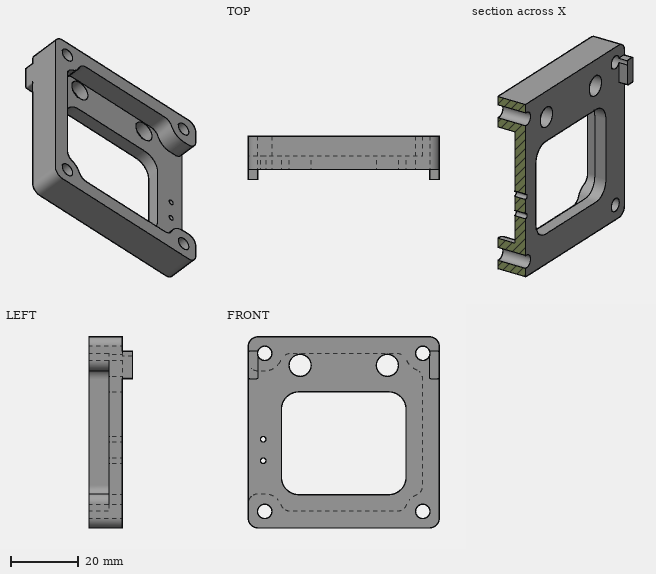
import cadquery as cq
import math

side = 57.0
half = side / 2
thickness = 10.0
web_thickness = 4.0
corner_radius = 3.0

rail_width = 5.0
post_radius = 5.25
post_fillet = 3.0

window_width = 37.05
window_height = 30.55
window_center_z = -3.25
window_radius = 5.15

mount_offset = 23.55
mount_diameter = 4.2
mount_points = [(x, z) for x in (-mount_offset, mount_offset) for z in (-mount_offset, mount_offset)]
large_hole_x = 13.0
large_hole_z = 19.95
large_hole_diameter = 6.5
pin_hole_x = -24.0
pin_hole_levels = (-2.05, -8.45)
pin_hole_diameter = 1.6

lug_width = 3.0
lug_height = 8.25
lug_length = 3.0
lug_top_gap = 4.3
lug_radius = 0.5


def block(width, height, y_start, y_end, x=0.0, z=0.0):
    """Box centered on (x, z), reaching from y_start to y_end."""
    depth = y_end - y_start
    return cq.Workplane("XY").box(width, depth, height).translate((x, (y_start + y_end) / 2, z))


def drill(body, points, diameter):
    """Cut round holes along Y through the whole body."""
    cutter = (
        cq.Workplane("XZ", origin=(0, thickness, 0))
        .pushPoints(points)
        .circle(diameter / 2)
        .extrude(thickness + lug_length)
    )
    return body.cut(cutter)


def round_corners(body, corners, radius):
    """Fillet the edges along Y that stand at the given (x, z) corners."""
    reach = 0.05
    for x, z in corners:
        near_corner = cq.selectors.BoxSelector(
            (x - reach, 0, z - reach),
            (x + reach, thickness, z + reach),
        )
        body = body.edges("|Y").edges(near_corner).fillet(radius)
    return body


def make_frame():
    """Rear walls: a C of three rails with four posts, blended where posts meet rails."""
    depth = thickness - web_thickness
    inner = half - rail_width
    frame = block(side, side, web_thickness, thickness)
    opening_width = side - rail_width
    opening = block(opening_width, 2 * inner, web_thickness, thickness, x=-rail_width / 2)
    frame = frame.cut(opening)

    posts = (
        cq.Workplane("XZ", origin=(0, thickness, 0))
        .pushPoints(mount_points)
        .circle(post_radius)
        .extrude(depth)
    )
    frame = frame.union(posts)

    tab_width = half - mount_offset
    tab_height = tab_width + post_radius
    tab_x = -(half - tab_width / 2)
    tab_z = half - tab_height / 2
    for z in (-tab_z, tab_z):
        frame = frame.union(block(tab_width, tab_height, web_thickness, thickness, tab_x, z))

    frame = frame.intersect(block(side, side, web_thickness, thickness))

    crossing = mount_offset - math.sqrt(post_radius**2 - (mount_offset - inner) ** 2)
    junctions = [(x, z) for x in (-crossing, crossing) for z in (-inner, inner)]
    junctions += [(inner, z) for z in (-crossing, crossing)]
    frame = round_corners(frame, junctions, post_fillet)

    tab_corners = [(-half, z) for z in (-half + tab_height, half - tab_height)]
    plate_corners = [(x, z) for x in (-half, half) for z in (-half, half)]
    return round_corners(frame, tab_corners + plate_corners, corner_radius)


web = block(side, side, 0, web_thickness).edges("|Y").fillet(corner_radius)
result = web.union(make_frame())

window = block(window_width, window_height, 0, web_thickness, z=window_center_z)
result = result.cut(window.edges("|Y").fillet(window_radius))

lug_x = half - lug_width / 2
lug_z = half - lug_top_gap - lug_height / 2
for x in (-lug_x, lug_x):
    lug = block(lug_width, lug_height, -lug_length, 0, x, lug_z)
    result = result.union(lug.edges("|Y").fillet(lug_radius))

result = drill(result, mount_points, mount_diameter)
result = drill(result, [(-large_hole_x, large_hole_z), (large_hole_x, large_hole_z)], large_hole_diameter)
result = drill(result, [(pin_hole_x, z) for z in pin_hole_levels], pin_hole_diameter)